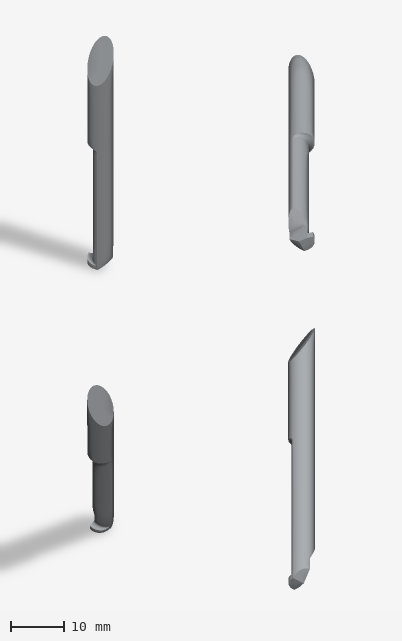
import cadquery as cq
import math

bar_length = 56.58
bar_radius = 2.5
block_width = 6 * bar_radius

end_angle = math.radians(30)
end_bevel_height = 2 * bar_radius / math.tan(end_angle)

neck_offset = 1.2
neck_top = 31.5
shoulder_fillet = 1.0

flat_y = 0.26
flat_height = 4.5
head_height = 1.5
head_radius = 2.4
root_fillet = 0.2
head_zone = head_height + 2 * root_fillet
relief_slope = math.tan(math.radians(5))
dish_slope = math.tan(math.radians(2.5))
back_chamfer = 2.2

tip_inner_x = -1.45


def cylinder_blank():
    """Full round bar."""
    return cq.Workplane("XY").circle(bar_radius).extrude(bar_length)


def end_bevel_cutter():
    """Everything above the slanted shank end, which is highest on the +Y side."""
    low = bar_length - end_bevel_height
    return (
        cq.Workplane("YZ")
        .polyline([(-bar_radius, low), (bar_radius, bar_length), (-bar_radius, bar_length)])
        .close()
        .extrude(bar_radius, both=True)
    )


def front_flat_cutter():
    """Material on the +Y side of the flat, ending in a slanted run-out."""
    depth = bar_radius - flat_y
    runout_top = flat_height + depth / math.tan(end_angle)
    return (
        cq.Workplane("YZ")
        .polyline([(flat_y, 0), (bar_radius, 0), (bar_radius, runout_top), (flat_y, flat_height)])
        .close()
        .extrude(bar_radius, both=True)
    )


def stepped_stock():
    """Offset neck column between an oversize shank block and an oversize head block."""
    column = (
        cq.Workplane("XY")
        .center(neck_offset, 0)
        .circle(bar_radius)
        .extrude(bar_length)
    )
    shank_block = (
        cq.Workplane("XY")
        .workplane(offset=neck_top)
        .rect(block_width, block_width)
        .extrude(bar_length - neck_top)
    )
    half = block_width / 2
    head_block = (
        cq.Workplane("YZ")
        .polyline([
            (-half, 0),
            (half, 0),
            (half, head_height + half * relief_slope),
            (-half, head_height - half * relief_slope),
        ])
        .close()
        .extrude(half, both=True)
    )
    shoulder_edge = cq.selectors.BoxSelector(
        (-half, -half, neck_top - shoulder_fillet),
        (half, half, neck_top + shoulder_fillet),
    )
    stock = column.union(shank_block).union(head_block)
    stock = stock.edges(shoulder_edge).edges("%CIRCLE").fillet(shoulder_fillet)
    return stock.edges("%ELLIPSE").fillet(root_fillet)


def end_relief_cutter():
    """Space under the end face, which rises from the cutting corner toward -Y and +X."""
    end_plane = cq.Plane(
        origin=(-bar_radius, 0, 0),
        xDir=(1, 0, dish_slope),
        normal=(-dish_slope, relief_slope, 1),
    )
    return cq.Workplane(end_plane).rect(block_width, block_width).extrude(-bar_radius)


def head_side_cutter():
    """Ring around the head that leaves the neck and the head arc."""
    neck = cq.Workplane("XY").center(neck_offset, 0).circle(bar_radius).extrude(head_zone)
    head = (
        cq.Workplane("XY")
        .center(head_radius - bar_radius, 0)
        .circle(head_radius)
        .extrude(head_zone)
    )
    ring = cq.Workplane("XY").circle(2 * bar_radius).extrude(head_zone)
    return ring.cut(neck).cut(head)


def back_chamfer_cutter():
    """45 degree chamfer on the +X side of the lower end."""
    return (
        cq.Workplane("XZ")
        .polyline([(bar_radius, back_chamfer), (bar_radius, 0), (bar_radius - back_chamfer, 0)])
        .close()
        .extrude(bar_radius, both=True)
    )


def rake_cutter():
    """Shallow rake face running from the flat down to the cutting edge."""
    return (
        cq.Workplane("XY")
        .polyline([(-bar_radius, 0), (tip_inner_x, flat_y), (-bar_radius, flat_y)])
        .close()
        .extrude(head_zone)
    )


def tip_zone():
    """Block around the cutting tip, outward of its joint with the bar."""
    width = bar_radius + tip_inner_x
    return (
        cq.Workplane("XY")
        .box(width, 2 * bar_radius, head_zone, centered=(False, True, False))
        .translate((-bar_radius, 0, 0))
    )


whole = (
    cylinder_blank()
    .cut(end_bevel_cutter())
    .cut(front_flat_cutter())
    .intersect(stepped_stock())
    .cut(end_relief_cutter())
    .cut(head_side_cutter())
    .cut(back_chamfer_cutter())
    .cut(rake_cutter())
)
bar = whole.cut(tip_zone())
tip = whole.intersect(tip_zone())

result = cq.Compound.makeCompound([bar.val(), tip.val()])